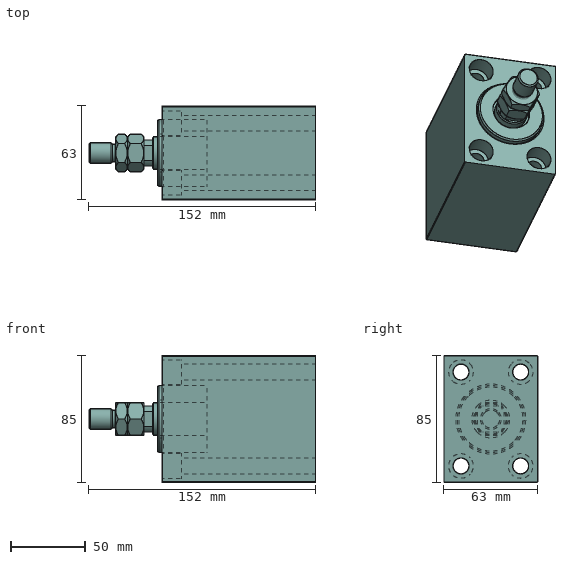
import cadquery as cq
import math


housing_length = 103.0
housing_width = 63.0
housing_height = 85.0
housing_edge_chamfer = 0.5
mount_spacing_y = 40.0
mount_spacing_z = 63.0
mount_hole_diameter = 10.5
counterbore_diameter = 16.5
counterbore_depth = 13.0

gland_diameter = 45.0
gland_projection = 3.2
gland_insertion = 30.0
gland_chamfer = 1.0
wiper_recess_diameter = 25.4
wiper_recess_depth = 3.0
gland_bore_chamfer = 1.0

rod_diameter = 22.0
rod_chamfer = 0.8
rod_shoulder_projection = 3.2
wrench_square = 17.6
wrench_corner_diameter = rod_diameter - 2 * rod_chamfer
wrench_length = 5.7

hex_across_flats = 22.0
hex_across_corners = hex_across_flats / math.cos(math.radians(30))
hex_face_diameter = 21.6
rear_hex_length = 11.1
front_hex_length = 8.0
stud_diameter = 14.0
stud_length = 17.8
stud_chamfer = 1.0
undercut_diameter = 12.0
undercut_length = 2.2
undercut_fillet = 0.6

gland_front = -gland_projection
shoulder_front = gland_front - rod_shoulder_projection
rod_front = shoulder_front - wrench_length
hex_joint = rod_front - rear_hex_length
hex_front = hex_joint - front_hex_length
stud_front = hex_front - stud_length


def along_x(start):
    """Workplane normal to +X at the given X station, with local x = Y and local y = Z."""
    return cq.Workplane("YZ", origin=(start, 0, 0))


def cylinder(start, length, diameter):
    return along_x(start).circle(diameter / 2).extrude(length)


def make_housing():
    block = along_x(0).rect(housing_width, housing_height).extrude(housing_length)
    block = block.edges("|X").chamfer(housing_edge_chamfer)
    block = block.cut(cylinder(0, gland_insertion, gland_diameter))
    block = block.faces("<X").edges("%CIRCLE").chamfer(gland_bore_chamfer)
    mount_points = along_x(0).rect(mount_spacing_y, mount_spacing_z, forConstruction=True).vertices()
    holes = mount_points.circle(mount_hole_diameter / 2).extrude(housing_length)
    counterbores = mount_points.circle(counterbore_diameter / 2).extrude(counterbore_depth)
    return block.cut(holes).cut(counterbores)


def make_gland():
    gland = cylinder(gland_front, gland_projection + gland_insertion, gland_diameter)
    gland = gland.faces("<X").chamfer(gland_chamfer)
    gland = gland.cut(cylinder(gland_front, gland_projection + gland_insertion, rod_diameter))
    return gland.cut(cylinder(gland_front, wiper_recess_depth, wiper_recess_diameter))


def make_rod():
    shaft = cylinder(shoulder_front, gland_insertion - shoulder_front, rod_diameter)
    shaft = shaft.faces("<X").chamfer(rod_chamfer)
    square = along_x(rod_front).rect(wrench_square, wrench_square).extrude(wrench_length)
    wrench_end = square.intersect(cylinder(rod_front, wrench_length, wrench_corner_diameter))
    return shaft.union(wrench_end)


def make_hex(start, length):
    """Hexagon with flats facing +Z and -Z and its corners turned off at 45 degrees on both ends."""
    prism = along_x(start).polygon(6, hex_across_corners).extrude(length)
    corner_chamfer = (hex_across_corners - hex_face_diameter) / 2
    envelope = cylinder(start, length, hex_across_corners).faces("<X or >X").chamfer(corner_chamfer)
    return prism.intersect(envelope)


def make_adapter():
    hexes = make_hex(hex_joint, rear_hex_length).union(make_hex(hex_front, front_hex_length))
    undercut_radius = undercut_diameter / 2
    stud_radius = stud_diameter / 2
    undercut_start = hex_front - undercut_length
    stud = (
        cq.Workplane("XZ")
        .moveTo(stud_front, 0)
        .lineTo(stud_front, stud_radius - stud_chamfer)
        .lineTo(stud_front + stud_chamfer, stud_radius)
        .lineTo(undercut_start - (stud_radius - undercut_radius), stud_radius)
        .lineTo(undercut_start, undercut_radius)
        .lineTo(hex_front - undercut_fillet, undercut_radius)
        .radiusArc((hex_front, undercut_radius + undercut_fillet), -undercut_fillet)
        .lineTo(hex_front, 0)
        .close()
        .revolve(360, (0, 0, 0), (1, 0, 0))
    )
    return hexes.union(stud)


housing = make_housing()
gland = make_gland()
rod = make_rod()
adapter = make_adapter()

result = cq.Compound.makeCompound([housing.val(), gland.val(), rod.val(), adapter.val()])